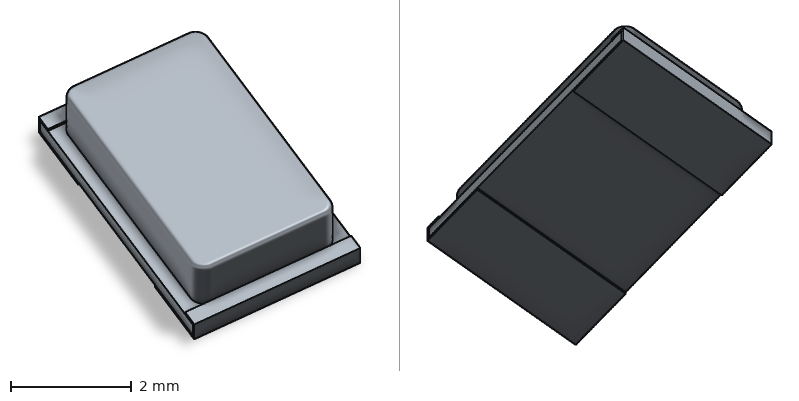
import cadquery as cq

length = 5.1
width = 3.2
height = 1.3

sheet = 0.05
terminal_height = 0.4
upper_lip = 0.3
lower_pad = 1.3

base_length = length - 2 * sheet
base_height = terminal_height - 2 * sheet
base_top = sheet + base_height

cap_margin = 0.25
cap_length = length - 2 * upper_lip
cap_width = width - 2 * cap_margin
cap_height = height - base_top
cap_corner_radius = 0.25
cap_edge_radius = 0.1


def make_housing():
    """Flat base and rounded cap, formed as one solid."""
    base = cq.Workplane("XY").workplane(offset=sheet).box(
        base_length, width, base_height, centered=(True, True, False)
    )
    cap = (
        cq.Workplane("XY")
        .workplane(offset=base_top)
        .box(cap_length, cap_width, cap_height, centered=(True, True, False))
        .edges("|Z")
        .fillet(cap_corner_radius)
        .faces(">Z")
        .edges()
        .fillet(cap_edge_radius)
    )
    return base.union(cap)


def make_terminal(side):
    """C-shaped sheet around one end of the base; side is -1 or +1 along X."""
    outer_x = side * length / 2
    inner_x = side * base_length / 2
    lip_x = side * (length / 2 - upper_lip)
    pad_x = side * (length / 2 - lower_pad)
    return (
        cq.Workplane("XZ")
        .moveTo(pad_x, 0)
        .lineTo(outer_x, 0)
        .lineTo(outer_x, terminal_height)
        .lineTo(lip_x, terminal_height)
        .lineTo(lip_x, base_top)
        .lineTo(inner_x, base_top)
        .lineTo(inner_x, sheet)
        .lineTo(pad_x, sheet)
        .close()
        .extrude(width / 2, both=True)
    )


housing = make_housing()
terminals = [make_terminal(side).val() for side in (-1, 1)]

result = cq.Compound.makeCompound([housing.val(), *terminals])